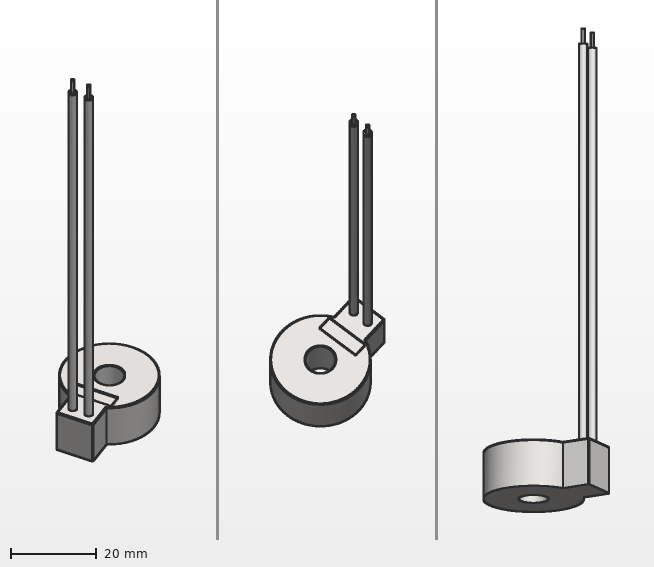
import cadquery as cq

ring_diameter = 23.5
bore_diameter = 7.0
bore_chamfer = 0.2
bore_chamfer_angle = 90
body_height = 11.25
top_edge_chamfer = 0.25

block_width = 9.6
overall_depth = 29.5
block_front_y = ring_diameter / 2 - overall_depth
block_edge_chamfer = 0.25

label_width = 11.0
label_back_y = -6.2
label_front_y = -9.8
label_depth = 0.4

overall_height = 111.05
wire_spacing = 4.2
wire_y = -14.6
insulation_diameter = 2.0
conductor_diameter = 0.8
bare_length = 3.75


def make_body():
    """Ring and terminal block with a chamfered top outline, and the countersunk through bore."""
    ring = cq.Workplane("XY").circle(ring_diameter / 2).extrude(body_height)
    block = (
        cq.Workplane("XY")
        .center(0, block_front_y / 2)
        .rect(block_width, -block_front_y)
        .extrude(body_height)
        .edges("|Z and <Y")
        .chamfer(block_edge_chamfer)
    )
    solid_body = ring.union(block).faces(">Z").edges().chamfer(top_edge_chamfer)
    bore_rim_diameter = bore_diameter + 2 * bore_chamfer
    top_plane = solid_body.faces(">Z").workplane(origin=(0, 0, body_height))
    return top_plane.cskHole(bore_diameter, bore_rim_diameter, bore_chamfer_angle)


def make_label_recess():
    """Rectangular cutter for the label area."""
    label_center_y = (label_back_y + label_front_y) / 2
    return (
        cq.Workplane("XY", origin=(0, label_center_y, body_height - label_depth))
        .rect(label_width, label_back_y - label_front_y)
        .extrude(label_depth)
    )


def make_wire(x):
    """Insulated wire with a bare conductor end, rising from the block top."""
    insulation_end = overall_height - bare_length
    wire_base = cq.Workplane("XY", origin=(x, wire_y, body_height))
    insulation = wire_base.circle(insulation_diameter / 2).extrude(insulation_end - body_height)
    conductor = wire_base.circle(conductor_diameter / 2).extrude(overall_height - body_height)
    return insulation.union(conductor)


result = make_body().cut(make_label_recess())
for side in (-1, 1):
    result = result.union(make_wire(side * wire_spacing / 2))